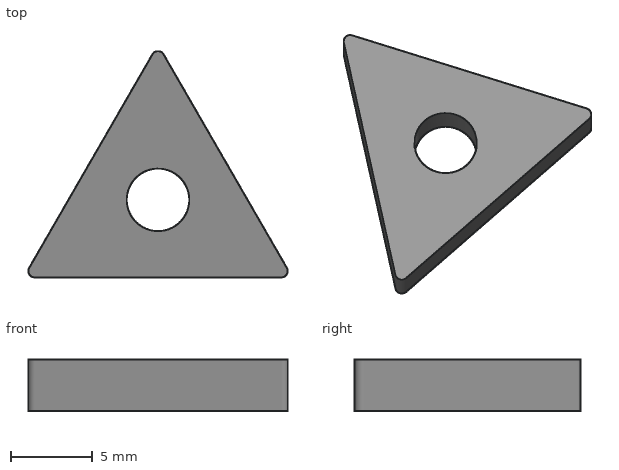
import cadquery as cq
import math

width = 15.91
thickness = 3.18
corner_radius = 0.4
hole_diameter = 3.82

corner_center_spacing = width - 2 * corner_radius
corner_center_distance = corner_center_spacing / math.sqrt(3)

sharp_corner_distance = corner_center_distance + 2 * corner_radius


def triangular_plate():
    """Equilateral plate centred on the Z axis, one corner toward +Y, with rounded corners."""
    corner_angles = [math.radians(angle) for angle in (90, 210, 330)]
    corners = [
        (sharp_corner_distance * math.cos(angle), sharp_corner_distance * math.sin(angle))
        for angle in corner_angles
    ]
    plate = cq.Workplane("XY").polyline(corners).close().extrude(thickness)
    return plate.edges("|Z").fillet(corner_radius)


def central_hole():
    """Cylinder that cuts the through hole at the centre of the triangle."""
    return cq.Workplane("XY").circle(hole_diameter / 2).extrude(thickness)


result = triangular_plate().cut(central_hole())